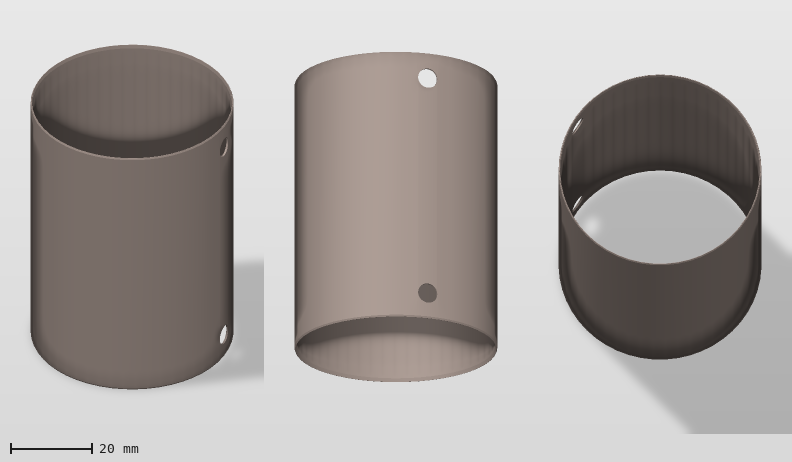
import cadquery as cq

height = 69.0
outer_diameter = 50.0
wall = 0.5

outer_bevel_width = 0.2
outer_bevel_height = 0.4
inner_bevel_width = 0.2
inner_bevel_height = 0.9

hole_diameter = 5.0
hole_end_distance = 6.5

outer_radius = outer_diameter / 2
inner_radius = outer_radius - wall


def make_tube():
    land_outer = outer_radius - outer_bevel_width
    land_inner = inner_radius + inner_bevel_width
    wall_profile = [
        (inner_radius, inner_bevel_height),
        (land_inner, 0),
        (land_outer, 0),
        (outer_radius, outer_bevel_height),
        (outer_radius, height - outer_bevel_height),
        (land_outer, height),
        (land_inner, height),
        (inner_radius, height - inner_bevel_height),
    ]
    return cq.Workplane("XZ").polyline(wall_profile).close().revolve(360, (0, 0, 0), (0, 1, 0))


def wall_hole(center_height):
    return (
        cq.Workplane("YZ")
        .center(0, center_height)
        .circle(hole_diameter / 2)
        .extrude(outer_diameter)
    )


result = make_tube()
for center_height in (hole_end_distance, height - hole_end_distance):
    result = result.cut(wall_hole(center_height))